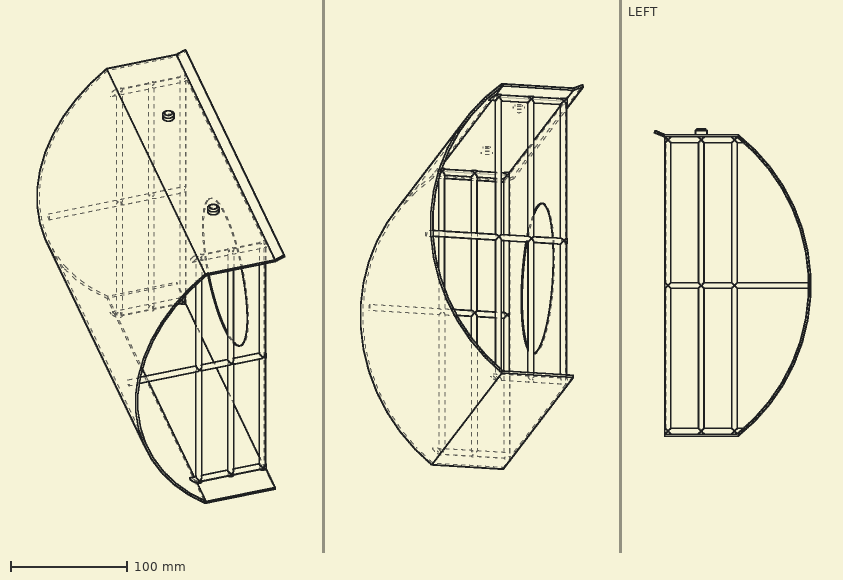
import cadquery as cq
import math

width = 285.0
height = 260.0
flat_depth = 63.0
bulge = 63.0
sheet = 2.0

lip_run = 8.8
lip_rise = 3.5

back_sheet = 1.0
back_inset = 27.5
opening_diameter = 130.0

bar_diameter = 5.0
bar_margin = 2.8

pin_diameter = 10.0
pin_height = pin_diameter / 2
pin_chamfer = 1.7
pin_spacing = 130.0

middle_x = width / 2
middle_z = height / 2
flat_middle_y = -flat_depth / 2
front_y = -flat_depth - bulge
front_radius = (middle_z**2 + bulge**2) / (2 * bulge)
front_axis_y = front_y + front_radius


def extrude_along_x(profile, start, end):
    return profile.extrude(end - start).translate((start, 0, 0))


def make_body(inset):
    """Solid with the outline of the shell, moved inward by inset except at the open back."""
    radius = front_radius - inset
    half_height = middle_z - inset
    corner_y = front_axis_y - math.sqrt(radius**2 - half_height**2)
    profile = (
        cq.Workplane("YZ")
        .moveTo(0, inset)
        .lineTo(corner_y, inset)
        .threePointArc((front_y + inset, middle_z), (corner_y, height - inset))
        .lineTo(0, height - inset)
        .close()
    )
    return extrude_along_x(profile, 0, width)


def make_shell():
    return make_body(0).cut(make_body(sheet))


def make_lip():
    lip_length = math.hypot(lip_run, lip_rise)
    tip_shift_y = sheet * lip_rise / lip_length
    tip_shift_z = sheet * lip_run / lip_length
    tip_z = height + lip_rise
    profile = cq.Workplane("YZ").polyline([
        (0, height),
        (lip_run - tip_shift_y, tip_z),
        (lip_run, tip_z - tip_shift_z),
        (0, height - sheet),
    ]).close()
    return extrude_along_x(profile, 0, width)


def make_back_plate():
    profile = cq.Workplane("YZ").rect(-back_sheet, height, centered=False)
    plate = extrude_along_x(profile, back_inset, width - back_inset)
    opening = (
        cq.Workplane("XZ", origin=(middle_x, 0, middle_z))
        .circle(opening_diameter / 2)
        .extrude(back_sheet)
    )
    return plate.cut(opening)


def make_grille(x):
    """Three uprights and three crossbars in one plane, ending inside the shell wall."""
    bar_radius = bar_diameter / 2
    upright_pitch = flat_depth / 2 - bar_margin
    crossbar_pitch = middle_z - sheet - bar_radius
    grille = cq.Workplane("XY")
    for step in (-1, 0, 1):
        upright_y = flat_middle_y + step * upright_pitch
        crossbar_z = middle_z + step * crossbar_pitch
        upright = cq.Workplane("XY", origin=(x, upright_y, 0)).circle(bar_radius).extrude(height)
        crossbar = cq.Workplane("XZ", origin=(x, 0, crossbar_z)).circle(bar_radius).extrude(-front_y)
        grille = grille.add(upright).add(crossbar)
    return grille.combine().intersect(make_body(sheet / 2))


def make_pin(x):
    """Chamfered pin rooted in the thickness of the top plate."""
    return (
        cq.Workplane("XY", origin=(x, flat_middle_y, height - sheet))
        .circle(pin_diameter / 2)
        .extrude(sheet + pin_height)
        .faces(">Z")
        .chamfer(pin_chamfer)
    )


result = make_shell().union(make_lip()).union(make_back_plate())
for side in (-1, 1):
    result = result.union(make_grille(middle_x + side * (middle_x - back_inset)))
    result = result.union(make_pin(middle_x + side * pin_spacing / 2))